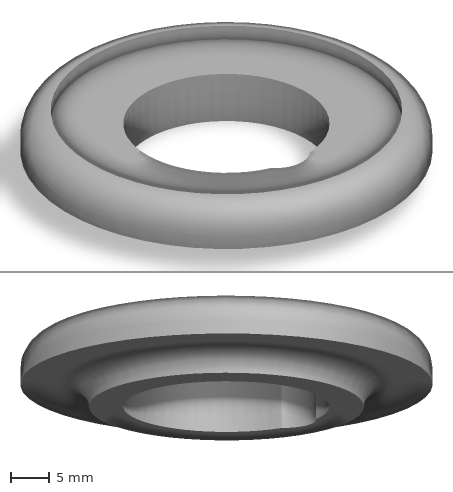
import cadquery as cq

outer_diameter = 54.0
flange_thickness = 6.0
collar_height = 3.0
total_height = flange_thickness + collar_height

rim_round = 4.0
recess_diameter = outer_diameter - 2 * rim_round
recess_depth = 2.0

collar_diameter = 36.0
flare_radius = collar_height

bore_diameter = 27.0
notch_radius = 4.5
notch_reach = 14.5


def make_body():
    """Flange with a rounded upper rim on a flared collar."""
    flange = (
        cq.Workplane("XY")
        .workplane(offset=collar_height)
        .circle(outer_diameter / 2)
        .extrude(flange_thickness)
        .faces(">Z")
        .edges()
        .fillet(rim_round)
    )
    collar_radius = collar_diameter / 2
    arc_drop = flare_radius * 0.5**0.5
    collar = (
        cq.Workplane("XZ")
        .lineTo(collar_radius, 0)
        .threePointArc(
            (collar_radius + flare_radius - arc_drop, arc_drop),
            (collar_radius + flare_radius, collar_height),
        )
        .lineTo(0, collar_height)
        .close()
        .revolve(360, (0, 0), (0, 1))
    )
    return flange.union(collar)


def make_recess():
    """Flat-bottomed recess bordered by the rounded rim."""
    return (
        cq.Workplane("XY")
        .workplane(offset=total_height - recess_depth)
        .circle(recess_diameter / 2)
        .extrude(recess_depth)
    )


def make_bore():
    """Through bore joined with its key notch."""
    bore = cq.Workplane("XY").circle(bore_diameter / 2).extrude(total_height)
    notch = (
        cq.Workplane("XY")
        .center(notch_reach - notch_radius, 0)
        .circle(notch_radius)
        .extrude(total_height)
    )
    return bore.union(notch)


result = make_body().cut(make_recess()).cut(make_bore())